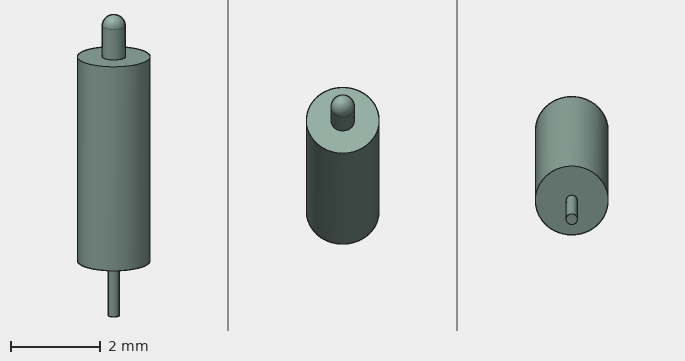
import cadquery as cq

TOTAL_HEIGHT = 6.99
BARREL_DIAMETER = 1.63
BARREL_HEIGHT = 4.745
TAIL_DIAMETER = 0.25
TAIL_LENGTH = 1.27
PLUNGER_DIAMETER = 0.525

barrel_top = TAIL_LENGTH + BARREL_HEIGHT
plunger_radius = PLUNGER_DIAMETER / 2
plunger_height = TOTAL_HEIGHT - barrel_top
shank_height = plunger_height - plunger_radius


def make_barrel():
    """Cylindrical barrel with a thin solder tail below it."""
    tail = cq.Workplane("XY").circle(TAIL_DIAMETER / 2).extrude(TAIL_LENGTH)
    return tail.faces(">Z").workplane().circle(BARREL_DIAMETER / 2).extrude(BARREL_HEIGHT)


def make_plunger():
    """Round plunger with a hemispherical tip, seated on the barrel's top face."""
    shank = cq.Workplane("XY").workplane(offset=barrel_top).circle(plunger_radius).extrude(shank_height)
    dome = cq.Workplane("XY").sphere(plunger_radius).translate((0, 0, barrel_top + shank_height))
    return shank.union(dome)


barrel = make_barrel()
plunger = make_plunger()

result = cq.Compound.makeCompound([barrel.solids().val(), plunger.solids().val()])